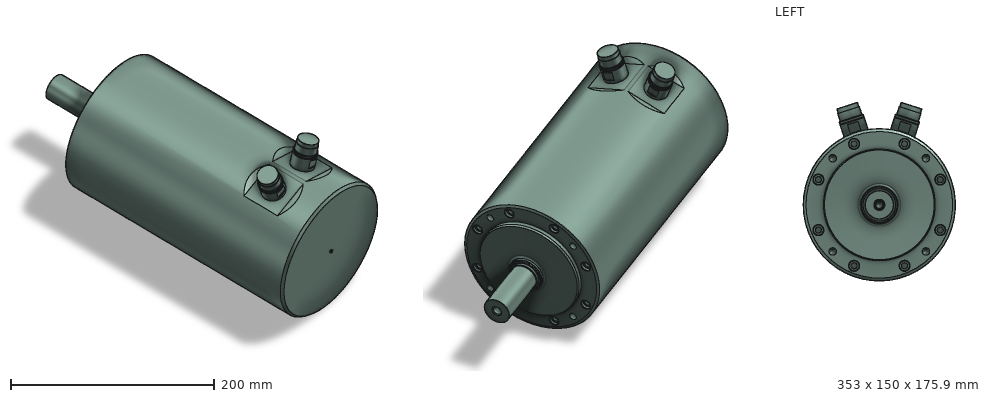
import cadquery as cq
import math


housing_radius = 150.0 / 2
housing_length = 277.5
front_chamfer_length = 1.0
front_chamfer_height = 3.0
rear_chamfer_length = 3.0
rear_chamfer_height = 2.5

pilot_radius = 110.0 / 2
pilot_length = 6.5
pilot_chamfer_length = 2.0
pilot_chamfer_height = 1.0
cone_tip_x = -9.2
cone_tip_radius = 42.0 / 2

boss_radius = 36.7 / 2
boss_step_radius = 35.0 / 2
boss_blend_x = -10.5
boss_blend_sag = 0.5
boss_step_x = -13.0
boss_front_x = -15.0
seal_bore_radius = 32.0 / 2
seal_bore_depth = 2.0

shaft_radius = 28.0 / 2
shaft_tip_x = -74.5
shaft_tip_chamfer = 0.18
shaft_groove_radius = 27.5 / 2
shaft_groove_x = -17.0
shaft_groove_width = 1.0

countersink_radius = 11.0 / 2
thread_radius = 9.0 / 2
thread_depth = 17.5
centre_drill_radius = 7.0 / 2
centre_drill_depth = 21.2

overall_length = 353
rear_boss_radius = 1.8
rear_boss_height = overall_length - housing_length + shaft_tip_x

bolt_circle_radius = 130.0 / 2
bolt_count = 8
bolt_start_angle = 22.5
bolt_rim_radius = 11.0 / 2
bolt_recess_radius = 10.0 / 2
bolt_recess_depth = 3.5
bolt_hole_radius = 6.0 / 2
bolt_hole_depth = 7.0
tapped_hole_count = 4
tapped_hole_start_angle = 45
tapped_hole_radius = 7.5 / 2
tapped_hole_depth = 14.0
drill_point_angle = 118

connector_x = 222.7
connector_tilts = (-18, 18)
seat_height = 72.0
seat_floor_length = 42.7
seat_top_length = 58.0
seat_width = 2 * math.sqrt(housing_radius**2 - seat_height**2)

connector_base_radius = 25.0 / 2
connector_groove_radius = 23.0 / 2
connector_barrel_radius = 22.5 / 2
connector_cap_radius = 21.5 / 2
connector_face_radius = 21.2 / 2
groove_bottom = 14.5
collar_bottom = 15.2
collar_top = 18.0
collar_chamfer = 0.7
barrel_top = 26.0
connector_height = 30.7
face_chamfer = connector_cap_radius - connector_face_radius
flat_bottom = 3.5
flat_top = 12.7
flat_distance = 11.3


def drilled_hole(radius, depth):
    """Blind hole along +X from the origin, with a conical drill point."""
    point_length = radius / math.tan(math.radians(drill_point_angle / 2))
    profile = [(0, 0), (0, radius), (depth, radius), (depth + point_length, 0)]
    return cq.Workplane("XY").polyline(profile).close().revolve(360, (0, 0, 0), (1, 0, 0))


def bore(radius, depth):
    """Flat-bottomed hole along +X from the origin."""
    return cq.Workplane("YZ").circle(radius).extrude(depth)


def on_bolt_circle(cutter, count, start_angle):
    """Copies of a cutter spread evenly round the bolt circle."""
    copies = cq.Workplane("XY")
    for index in range(count):
        angle = start_angle + index * 360 / count
        copies = copies.add(cutter.translate((0, bolt_circle_radius, 0)).rotate((0, 0, 0), (1, 0, 0), angle))
    return copies.combine()


def make_motor_blank():
    """Housing, pilot, cone, seal boss and shaft, turned from one profile (X, radius)."""
    rear_x = housing_length
    return (
        cq.Workplane("XY")
        .moveTo(shaft_tip_x, 0)
        .lineTo(shaft_tip_x, shaft_radius - shaft_tip_chamfer)
        .lineTo(shaft_tip_x + shaft_tip_chamfer, shaft_radius)
        .lineTo(shaft_groove_x, shaft_radius)
        .lineTo(shaft_groove_x, shaft_groove_radius)
        .lineTo(shaft_groove_x + shaft_groove_width, shaft_groove_radius)
        .lineTo(shaft_groove_x + shaft_groove_width, shaft_radius)
        .lineTo(boss_front_x + seal_bore_depth, shaft_radius)
        .lineTo(boss_front_x + seal_bore_depth, seal_bore_radius)
        .lineTo(boss_front_x, seal_bore_radius)
        .lineTo(boss_front_x, boss_step_radius)
        .lineTo(boss_step_x, boss_step_radius)
        .lineTo(boss_step_x, boss_radius)
        .lineTo(boss_blend_x, boss_radius)
        .threePointArc(
            (
                (boss_blend_x + cone_tip_x) / 2 + boss_blend_sag,
                (boss_radius + cone_tip_radius) / 2 - boss_blend_sag,
            ),
            (cone_tip_x, cone_tip_radius),
        )
        .lineTo(-pilot_length, pilot_radius - pilot_chamfer_height)
        .lineTo(pilot_chamfer_length - pilot_length, pilot_radius)
        .lineTo(0, pilot_radius)
        .lineTo(0, housing_radius - front_chamfer_height)
        .lineTo(front_chamfer_length, housing_radius)
        .lineTo(rear_x - rear_chamfer_length, housing_radius)
        .lineTo(rear_x, housing_radius - rear_chamfer_height)
        .lineTo(rear_x, rear_boss_radius)
        .lineTo(rear_x + rear_boss_height, rear_boss_radius)
        .lineTo(rear_x + rear_boss_height, 0)
        .close()
        .revolve(360, (0, 0, 0), (1, 0, 0))
    )


def countersunk_bore(rim_radius, radius, depth):
    """Flat-bottomed hole along +X from the origin, with a 45 degree countersink."""
    lead = rim_radius - radius
    profile = [(0, 0), (0, rim_radius), (lead, radius), (depth, radius), (depth, 0)]
    return cq.Workplane("XY").polyline(profile).close().revolve(360, (0, 0, 0), (1, 0, 0))


def make_centre_hole():
    """Countersunk threaded hole with a smaller drilled hole at its bottom."""
    hole = countersunk_bore(countersink_radius, thread_radius, thread_depth)
    hole = hole.union(drilled_hole(centre_drill_radius, centre_drill_depth))
    return hole.translate((shaft_tip_x, 0, 0))


def make_seat_cutter(tilt):
    """Flat-floored seat with sloping ends, tilted about the motor axis."""
    top = housing_radius
    cutter = (
        cq.Workplane("XZ")
        .polyline([
            (connector_x - seat_floor_length / 2, seat_height),
            (connector_x + seat_floor_length / 2, seat_height),
            (connector_x + seat_top_length / 2, top),
            (connector_x - seat_top_length / 2, top),
        ])
        .close()
        .extrude(seat_width / 2, both=True)
    )
    return cutter.rotate((0, 0, 0), (1, 0, 0), tilt)


def make_motor():
    """Turned motor with its centre hole, flange holes and connector seats."""
    bolt_hole = countersunk_bore(bolt_rim_radius, bolt_recess_radius, bolt_recess_depth)
    bolt_hole = bolt_hole.union(bore(bolt_hole_radius, bolt_hole_depth))
    tapped_hole = drilled_hole(tapped_hole_radius, tapped_hole_depth)
    motor = make_motor_blank().cut(make_centre_hole())
    motor = motor.cut(on_bolt_circle(bolt_hole, bolt_count, bolt_start_angle))
    motor = motor.cut(on_bolt_circle(tapped_hole, tapped_hole_count, tapped_hole_start_angle))
    for tilt in connector_tilts:
        motor = motor.cut(make_seat_cutter(tilt))
    return motor


def make_connector(tilt):
    """Turned connector standing on a seat floor, with two spanner flats on its body."""
    connector = (
        cq.Workplane("XZ")
        .polyline([
            (0, 0),
            (connector_base_radius, 0),
            (connector_base_radius, groove_bottom),
            (connector_groove_radius, groove_bottom),
            (connector_groove_radius, collar_bottom),
            (connector_base_radius, collar_bottom),
            (connector_base_radius, collar_top - collar_chamfer),
            (connector_base_radius - collar_chamfer, collar_top),
            (connector_barrel_radius, collar_top),
            (connector_barrel_radius, barrel_top),
            (connector_cap_radius, barrel_top),
            (connector_cap_radius, connector_height - face_chamfer),
            (connector_face_radius, connector_height),
            (0, connector_height),
        ])
        .close()
        .revolve(360, (0, 0, 0), (0, 1, 0))
    )
    flat_cut_height = flat_top - flat_bottom
    for side in (-1, 1):
        flat_cut = cq.Workplane("XY").box(
            connector_base_radius, 2 * connector_base_radius, flat_cut_height, centered=(True, True, False)
        )
        offset = side * (flat_distance + connector_base_radius / 2)
        connector = connector.cut(flat_cut.translate((offset, 0, flat_bottom)))
    return connector.translate((connector_x, 0, seat_height)).rotate((0, 0, 0), (1, 0, 0), tilt)


motor = make_motor()
connectors = [make_connector(tilt) for tilt in connector_tilts]

result = cq.Compound.makeCompound([motor.val(), *[connector.val() for connector in connectors]])